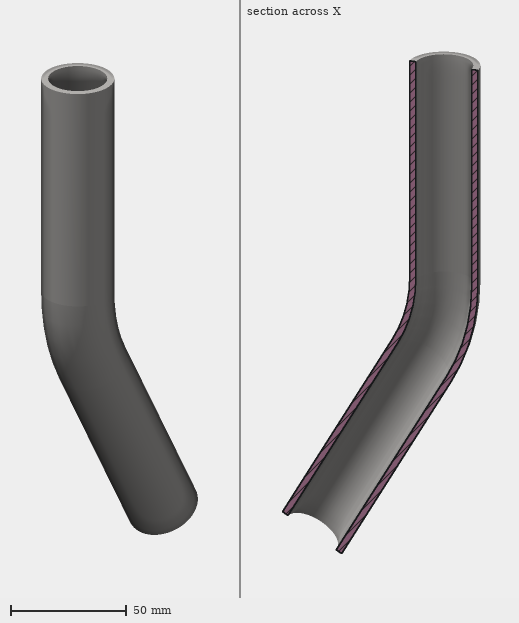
import cadquery as cq
import math

overall_height = 235.6
outer_diameter = 31.8
inner_diameter = 25.7
bend_radius = 75.5
bend_angle = 30.0

bend_sin = math.sin(math.radians(bend_angle))
bend_cos = math.cos(math.radians(bend_angle))

rim_drop = outer_diameter / 2 * bend_sin
leg_length = (overall_height - rim_drop - bend_radius * bend_sin) / (1 + bend_cos)


def bend_point(angle):
    """Return the centreline (y, z) at an angle in degrees along the bend."""
    turn = math.radians(angle)
    return (
        bend_radius * (1 - math.cos(turn)),
        -leg_length - bend_radius * math.sin(turn),
    )


bend_start = bend_point(0)
bend_middle = bend_point(bend_angle / 2)
bend_end = bend_point(bend_angle)
lower_end = (
    bend_end[0] + leg_length * bend_sin,
    bend_end[1] - leg_length * bend_cos,
)
centreline = (
    cq.Workplane("YZ")
    .moveTo(0, 0)
    .lineTo(*bend_start)
    .threePointArc(bend_middle, bend_end)
    .lineTo(*lower_end)
)

result = (
    cq.Workplane("XY")
    .circle(outer_diameter / 2)
    .circle(inner_diameter / 2)
    .sweep(centreline)
)